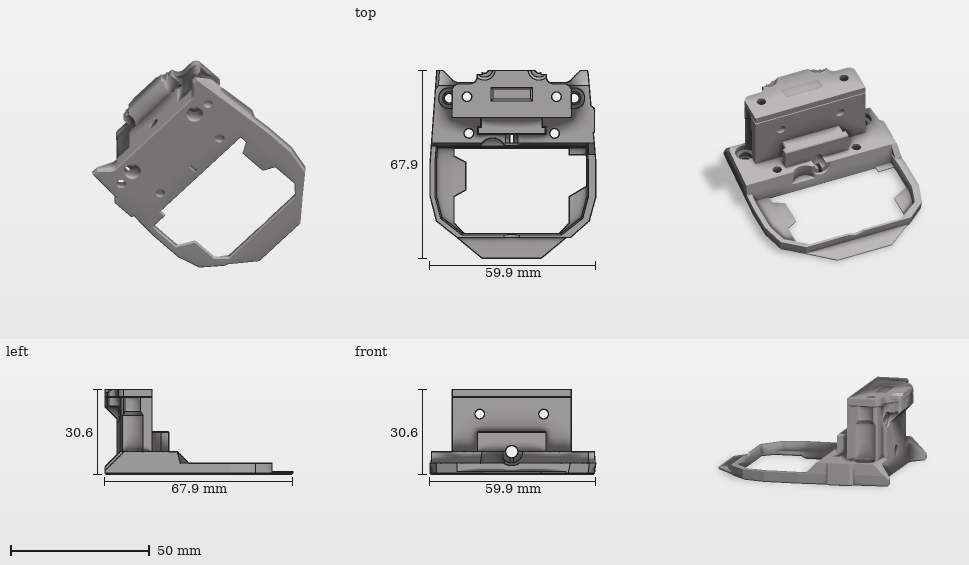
import cadquery as cq
import math

deck_top = 8.15
frame_top = 4.0
flange_top = 0.95
tower_top = 27.75
cover_top = 30.6
cut_margin = 3.4
side_limit = 40.7

back = 17.0
front = back - 67.85
bar_front = -43.35
flange_front = -41.85
wall_top_y = -9.15
wall_bottom_y = -11.2
cover_wing_back = 12.15
tower_wing_back = 11.2
spine_back = 12.7

bottom_chamfer = 0.5
right_draft = 8.0
left_back_x = -27.1
right_back_x = 27.55
left_side = [(-29.5, -16.55), (-29.5, -28.2), (-27.2, -37.3), (-19.7, bar_front)]
right_side = [(30.4, -15.75), (30.4, -28.6), (28.0, -37.3), (21.2, bar_front)]
lip_back_half = 19.7
lip_front_half = 10.65
right_pad = [(25.8, 4.3), (28.7, 4.3), (29.9, 3.2), (29.9, -5.0), (29.45, -5.5), (25.8, -5.5)]

opening_half = [(26.8, -5.4), (27.7, -15.6), (27.7, -28.6), (25.65, -36.4), (17.9, -42.4)]
opening_draft = 10.0
flange_half = 20.75
flange_corner_y = -38.05
flange_front_half = 17.1
tongue_edge_x = -16.55
tongue_ys = (-13.9, -16.1, -26.2, -28.5)
tab_front = -13.5
right_flange_back = -28.5
flange_slant_dx = 9.8
flange_slant_dy = 5.8

slope_foot_z = 2.7
slope_edge_chamfer = 1.0
notch_mouth_half = 24.8
notch_bend = (21.7, 13.9)
notch_arc_mid = (20.7, 13.0)
notch_floor_half = 19.4
gusset_inner_x = 27.7
nut_pocket_center = (-6.9, -12.1)
nut_pocket_radius = 4.75
nut_pocket_floor = 3.4
deck_screw = (15.5, -5.7)
screw_diameter = 3.4

well_x = 22.6
well_y = 7.0
well_diameter = 7.5
well_scoop_diameter = 7.75
well_scoop_bottom = 8.6
well_neck_diameter = 6.0
well_floor = 6.1
well_wide_top = 21.25
well_neck_bottom = 22.65
sleeve_diameter = 4.7
sleeve_floor = 4.1

tower_half = 21.5
wing_corner_y = 10.4
wing_radius = 2.7
shoulder_half = 12.5
cover_crook_radius = 2.7
tower_crook_radius = spine_back - tower_wing_back
shoulder_back = 15.6
step_half = 10.65
spine_underside_z = 24.35
cover_chamfer = 0.4
cover_screw = (16.15, 7.5)
cover_screw_bore_top = 7.6
tower_screw_x = 11.55
tower_screw_z = 21.7
screw_bore_diameter = 6.0
tower_bore_floor = 11.9
wire_x = 9.85
wire_y = 17.5
wire_hole_diameter = 3.0
wire_sink_diameter = 7.95
wire_sink_depth = 1.0
label_length = 14.9
label_width = 4.9
label_center_y = 8.5
label_depth = 0.3
label_bevel = 0.7

block_half = 12.35
block_neck_half = 11.2
block_step_y = -3.25
block_front = -6.05
block_top = 15.4
block_chamfer = 0.35
block_embed = 2.05
axle_diameter = 4.4
axle_seat_diameter = 7.95
axle_seat_y = -9.1
axle_clearance_diameter = 10.05
drain_half = 0.7


def prism(points, z_low, z_high):
    """Closed XY polygon extruded between two levels."""
    return cq.Workplane("XY").workplane(offset=z_low).polyline(points).close().extrude(z_high - z_low)


def side_prism(points, x_low, x_high):
    """Closed YZ polygon extruded between two X stations."""
    return cq.Workplane("YZ").workplane(offset=x_low).polyline(points).close().extrude(x_high - x_low)


def upright(x, y, diameter, z_low, z_high):
    """Vertical cylinder."""
    return cq.Workplane("XY", origin=(x, y, z_low)).circle(diameter / 2).extrude(z_high - z_low)


def lengthwise(x, z, diameter, y_low, y_high):
    """Cylinder along Y."""
    return cq.Workplane("XZ", origin=(x, y_high, z)).circle(diameter / 2).extrude(y_high - y_low)


def extended(start, end, distance):
    """Point on the line from start through end, the given distance beyond end."""
    scale = 1 + distance / math.dist(start, end)
    return (start[0] + scale * (end[0] - start[0]), start[1] + scale * (end[1] - start[1]))


def mirrored(half):
    """Full outline from a right half listed from back to front."""
    return half + [(-x, y) for x, y in reversed(half)]


def front_void(x_low, x_high, z_low):
    """Space in front of the leaning deck wall, above z_low."""
    lean = (wall_top_y - wall_bottom_y) / deck_top
    top = deck_top + cut_margin
    far = front - cut_margin
    wall_low = (wall_bottom_y + lean * z_low, z_low)
    wall_high = (wall_bottom_y + lean * top, top)
    profile = [wall_low, wall_high, (far, top), (far, z_low)]
    return side_prism(profile, x_low, x_high)


def make_frame():
    """Low layer under the whole body, with the front lip."""
    right_edge = [(right_back_x, back)] + right_side
    outline = right_edge + left_side[::-1] + [(left_back_x, back)]
    layer = prism(outline, 0, frame_top)
    back_end = extended(right_side[0], (right_back_x, back), cut_margin)
    front_end = extended(right_side[-2], right_side[-1], cut_margin)
    far_corners = [(-side_limit, front_end[1]), (-side_limit, back_end[1])]
    envelope_points = [back_end] + right_side + [front_end] + far_corners
    envelope = (
        cq.Workplane("XY").workplane(offset=frame_top).polyline(envelope_points).close()
        .extrude(-frame_top, taper=right_draft)
    )
    lip_points = mirrored([(lip_back_half, bar_front), (lip_front_half, front)])
    lip = prism(lip_points, 0, flange_top)
    return layer.intersect(envelope).union(lip).union(prism(right_pad, 0, frame_top))


def make_deck():
    """Raised rear layer with its leaning front wall and the right gusset."""
    outline = [(right_back_x, back), right_side[0], left_side[0], (left_back_x, back)]
    deck = prism(outline, frame_top, deck_top).union(prism(right_pad, frame_top, deck_top))
    deck = deck.cut(front_void(-side_limit, gusset_inner_x, frame_top))
    rise = deck_top - frame_top
    gusset_cut = [(wall_top_y, deck_top), (wall_top_y - rise, frame_top),
                  (front, frame_top), (front, deck_top)]
    return deck.cut(side_prism(gusset_cut, gusset_inner_x, side_limit))


def slope_deck_back(base):
    """Bevel the back at 45 degrees and break the left edge of that bevel."""
    run = deck_top - slope_foot_z
    wedge = [(back - run, deck_top), (back + cut_margin, deck_top), (back + cut_margin, slope_foot_z),
             (back, slope_foot_z)]
    base = base.cut(side_prism(wedge, -side_limit, side_limit))
    left_edge = cq.selectors.NearestToPointSelector((left_back_x, back - run / 2, slope_foot_z + run / 2))
    return base.edges(left_edge).chamfer(slope_edge_chamfer)


def back_notch():
    """Wide notch in the back edge, with slanted ends and rounded bends."""
    mouth_y = back + cut_margin
    mouth_half = notch_mouth_half + cut_margin
    return (
        cq.Workplane("XY").moveTo(-mouth_half, mouth_y)
        .lineTo(-notch_bend[0], notch_bend[1])
        .threePointArc((-notch_arc_mid[0], notch_arc_mid[1]), (-notch_floor_half, spine_back))
        .lineTo(notch_floor_half, spine_back)
        .threePointArc(notch_arc_mid, notch_bend)
        .lineTo(mouth_half, mouth_y)
        .close().extrude(deck_top)
    )


def opening():
    """Window inside the frame: drafted rim, with thin flanges left at the bottom."""
    rim = (
        cq.Workplane("XY").workplane(offset=frame_top).polyline(mirrored(opening_half)).close()
        .extrude(-frame_top, taper=opening_draft)
    )
    rim = rim.union(prism(mirrored(opening_half), frame_top, deck_top))
    rim = rim.intersect(front_void(-side_limit, side_limit, 0))
    tongue = [(-flange_half, tongue_ys[0]), (tongue_edge_x, tongue_ys[1]),
              (tongue_edge_x, tongue_ys[2]), (-flange_half, tongue_ys[3])]
    right_clear_x = flange_half + flange_slant_dx
    clear = [(-flange_half, 0)] + tongue + [
        (-flange_half, flange_corner_y), (-flange_front_half, flange_front),
        (flange_front_half, flange_front), (flange_half, flange_corner_y),
        (flange_half, right_flange_back), (right_clear_x, right_flange_back + flange_slant_dy),
        (right_clear_x, tab_front), (flange_half, tab_front), (flange_half, 0),
    ]
    above_flanges = cq.Workplane("XY").box(
        2 * side_limit, 4 * side_limit, deck_top, centered=(True, True, False)
    ).translate((0, 0, flange_top))
    return rim.intersect(above_flanges.union(prism(clear, 0, deck_top)))


def crown_outline(z, wing_back, crook_radius):
    """Plan of the tower and its cover at level z: a deep middle between two rounded wings."""
    crook_x = shoulder_half + crook_radius
    crook_y = wing_back + crook_radius
    crook_offset = crook_radius * math.sqrt(0.5)
    wing_center_y = wing_back - wing_radius
    corner_angle = math.asin((wing_corner_y - wing_center_y) / wing_radius)
    wing_center_x = tower_half - wing_radius * math.cos(corner_angle)
    middle_angle = (corner_angle + math.pi / 2) / 2
    wing_arc_mid = (
        wing_center_x + wing_radius * math.cos(middle_angle),
        wing_center_y + wing_radius * math.sin(middle_angle),
    )
    return (
        cq.Workplane("XY").workplane(offset=z)
        .moveTo(0, 0)
        .lineTo(tower_half, 0)
        .lineTo(tower_half, wing_corner_y)
        .threePointArc(wing_arc_mid, (wing_center_x, wing_back))
        .lineTo(crook_x, wing_back)
        .threePointArc((crook_x - crook_offset, crook_y - crook_offset), (shoulder_half, crook_y))
        .lineTo(shoulder_half, shoulder_back)
        .lineTo(step_half, shoulder_back)
        .lineTo(step_half, back)
        .lineTo(0, back)
        .mirrorY()
    )


def wire_holes():
    """Pair of vertical holes that break out through the back edge."""
    left = upright(-wire_x, wire_y, wire_hole_diameter, deck_top, cover_top)
    return left.union(upright(wire_x, wire_y, wire_hole_diameter, deck_top, cover_top))


def make_tower():
    """Upright block whose upper back overhangs the spine at 45 degrees."""
    foot = deck_top - slope_foot_z
    tower = crown_outline(foot, tower_wing_back, tower_crook_radius).extrude(tower_top - foot)
    beyond = back + cut_margin
    underside = [(spine_back, foot), (spine_back, spine_underside_z - (back - spine_back)),
                 (beyond, spine_underside_z + cut_margin), (beyond, foot)]
    tower = tower.cut(side_prism(underside, -tower_half, tower_half)).cut(wire_holes())
    for x in (-tower_screw_x, tower_screw_x):
        tower = tower.cut(lengthwise(x, tower_screw_z, screw_diameter, 0, back))
        tower = tower.cut(lengthwise(x, tower_screw_z, screw_bore_diameter, tower_bore_floor, back))
    return tower


def make_front_block():
    """T-shaped block in front of the tower, rooted in it so that its back edge stays square."""
    half = [(block_neck_half, block_embed), (block_neck_half, block_step_y), (block_half, block_step_y),
            (block_half, block_front)]
    return prism(mirrored(half), frame_top, block_top).faces(">Z").edges().chamfer(block_chamfer)


def screw_well(x):
    """Stepped well for a corner screw, cut into the deck and the tower flank."""
    radius = well_diameter / 2
    scoop = well_scoop_diameter / 2
    neck = well_neck_diameter / 2
    sleeve = sleeve_diameter / 2
    hole = screw_diameter / 2
    profile = [(0, 0), (hole, 0), (hole, sleeve_floor), (sleeve, sleeve_floor), (sleeve, well_floor),
               (radius, well_floor), (radius, deck_top), (scoop, well_scoop_bottom), (scoop, well_wide_top),
               (neck, well_neck_bottom), (neck, tower_top), (0, tower_top)]
    well = cq.Workplane("XZ").polyline(profile).close().revolve(360, (0, 0, 0), (0, 1, 0))
    return well.translate((x, well_y, 0))


def axle_cuts():
    """Lengthwise axle bore at deck level, its seat in the wall, and a drain slot."""
    bore = lengthwise(0, deck_top, axle_diameter, axle_seat_y, back)
    seat = lengthwise(0, deck_top, axle_seat_diameter, flange_front, axle_seat_y)
    clearance = lengthwise(0, deck_top, axle_clearance_diameter, front, flange_front + cut_margin)
    drain = prism([(-drain_half, axle_seat_y), (drain_half, axle_seat_y),
                   (drain_half, block_front), (-drain_half, block_front)], 0, deck_top)
    return bore.union(seat).union(clearance).union(drain)


def make_base():
    """Frame, deck, tower and front block as one solid with all its holes."""
    base = slope_deck_back(make_frame().union(make_deck()))
    base = base.cut(back_notch()).cut(opening())
    base = base.faces("<Z").edges().chamfer(bottom_chamfer)
    base = base.union(make_tower()).union(make_front_block())
    base = base.cut(upright(*nut_pocket_center, 2 * nut_pocket_radius, nut_pocket_floor, deck_top))
    base = base.cut(axle_cuts())
    for side in (-1, 1):
        cover_screw_x = side * cover_screw[0]
        cover_screw_y = cover_screw[1]
        base = base.cut(screw_well(side * well_x))
        base = base.cut(upright(side * deck_screw[0], deck_screw[1], screw_diameter, 0, deck_top))
        base = base.cut(upright(cover_screw_x, cover_screw_y, screw_diameter, 0, tower_top))
        base = base.cut(upright(cover_screw_x, cover_screw_y, screw_bore_diameter, 0, cover_screw_bore_top))
    return base


def make_cover():
    """Plate on top of the tower."""
    rim_z = tower_top + cover_chamfer
    plate = crown_outline(rim_z, cover_wing_back, cover_crook_radius).extrude(cover_top - rim_z)
    beveled_underside = (
        crown_outline(rim_z, cover_wing_back, cover_crook_radius)
        .extrude(-cover_chamfer, taper=45)
    )
    cover = plate.union(beveled_underside).cut(wire_holes())
    sink_floor = cover_top - wire_sink_depth
    for side in (-1, 1):
        screw_x = side * cover_screw[0]
        cover = cover.cut(upright(screw_x, cover_screw[1], screw_diameter, tower_top, cover_top))
        sink = (
            cq.Workplane("XY", origin=(side * wire_x, wire_y, cover_top)).circle(wire_sink_diameter / 2)
            .extrude(sink_floor - cover_top, taper=45)
        )
        cover = cover.cut(sink)
    label = (
        cq.Workplane("XY", origin=(0, label_center_y, cover_top)).rect(label_length, label_width)
        .extrude(-label_depth, taper=math.degrees(math.atan2(label_bevel, label_depth)))
    )
    return cover.cut(label)


base = make_base()
cover = make_cover()
result = cq.Compound.makeCompound([base.val(), cover.val()])